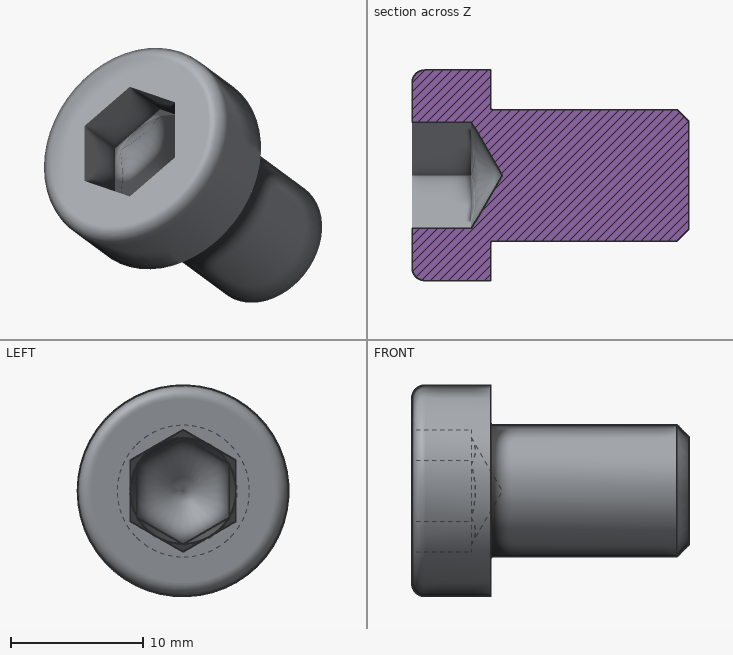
import cadquery as cq
import math

total_length = 21.0
head_diameter = 16.0
head_height = 5.98
head_round = 1.0

shank_diameter = 10.0
tip_chamfer = 0.92
neck_fillet = 0.13

socket_width = 8.0
socket_depth = 4.5
pilot_width = 7.01
cone_angle = 120.0


def across_corners(width):
    """Corner-to-corner size of a hexagon given across its flats."""
    return width / math.cos(math.radians(30))


def hex_prism(width, length):
    """Hexagonal prism starting at the head face, corners up and down."""
    prism = cq.Workplane("YZ").polygon(6, across_corners(width)).extrude(length)
    return prism.rotate((0, 0, 0), (1, 0, 0), 90)


def bottom_cone(radius):
    """Cone with its base on the socket floor and its point toward the tip."""
    height = radius / math.tan(math.radians(cone_angle / 2))
    profile = cq.Workplane("XY").polyline([
        (socket_depth, 0),
        (socket_depth, radius),
        (socket_depth + height, 0),
    ])
    return profile.close().revolve(360, (0, 0, 0), (1, 0, 0))


def make_body():
    """Coaxial head and shank with a rounded rim, chamfered tip and neck fillet."""
    rim = head_diameter / 2
    shank = shank_diameter / 2
    arc_offset = head_round * math.sin(math.radians(45))
    neck_offset = neck_fillet * math.sin(math.radians(45))
    profile = (
        cq.Workplane("XY")
        .lineTo(0, rim - head_round)
        .threePointArc(
            (head_round - arc_offset, rim - head_round + arc_offset),
            (head_round, rim),
        )
        .lineTo(head_height, rim)
        .lineTo(head_height, shank + neck_fillet)
        .threePointArc(
            (head_height + neck_fillet - neck_offset, shank + neck_fillet - neck_offset),
            (head_height + neck_fillet, shank),
        )
        .lineTo(total_length - tip_chamfer, shank)
        .lineTo(total_length, shank - tip_chamfer)
        .lineTo(total_length, 0)
        .close()
    )
    return profile.revolve(360, (0, 0, 0), (1, 0, 0))


socket = hex_prism(socket_width, socket_depth)
drilled_cone = bottom_cone(socket_width / 2)

pilot_cone = bottom_cone(across_corners(pilot_width) / 2)
pilot = pilot_cone.intersect(hex_prism(pilot_width, total_length))

result = make_body().cut(socket).cut(drilled_cone).cut(pilot)